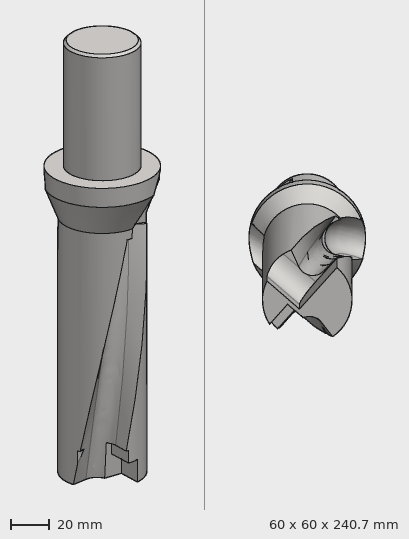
import cadquery as cq
import math

total_length = 240.7
collar_top = 170.6
collar_bottom = 160.0
cone_bottom = 142.5

shank_radius = 40.0 / 2
collar_radius = 60.0 / 2
body_radius = 46.0 / 2
shank_chamfer = 1.5

flat_depth = 2.05
flat_offset = shank_radius - flat_depth
flat_bottom = 178.5
flat_top = 234.0

flute_floor_distance = 8.5
flute_floor_radius = 8.0
wall_flare = 34.0
wall_reach = 21.7

twist_rate = 0.5402
flute_start_angle = 135.0
flute_top = 137.2

runout_direction = 253.0
runout_floor_distance = 4.8
runout_floor_radius = 9.9
runout_side_offset = -13.2
runout_arc_radius = 33.7
runout_sweep = 90.0

inner_seat_floor = 6.0
inner_seat_height = 12.8
inner_seat_fillet = 12.5

outer_seat_wall = 8.2
outer_seat_height = 19.5
outer_recess_depth = 6.3
outer_recess_height = 12.5

clearance = 2 * collar_radius


def turned_blank():
    """Shank, collar, cone and body as one revolved profile."""
    return (
        cq.Workplane("XZ")
        .moveTo(0, 0)
        .lineTo(body_radius, 0)
        .lineTo(body_radius, cone_bottom)
        .lineTo(collar_radius, collar_bottom)
        .lineTo(collar_radius, collar_top)
        .lineTo(shank_radius, collar_top)
        .lineTo(shank_radius, total_length - shank_chamfer)
        .lineTo(shank_radius - shank_chamfer, total_length)
        .lineTo(0, total_length)
        .close()
        .revolve(360, (0, 0), (0, 1))
    )


def box_between(low, high):
    """Axis-aligned box given by two opposite corners."""
    size = [b - a for a, b in zip(low, high)]
    return cq.Workplane("XY").box(*size, centered=False).translate(low)


def channel_section(floor_distance, floor_radius, flare_angle):
    """U-shaped section on the XY plane, opening along +X."""
    flare = math.radians(flare_angle)
    tangent_x = floor_distance + floor_radius * (1 - math.sin(flare))
    tangent_y = floor_radius * math.cos(flare)
    mouth_x = tangent_x + wall_reach * math.cos(flare)
    mouth_y = tangent_y + wall_reach * math.sin(flare)
    return (
        cq.Workplane("XY")
        .moveTo(mouth_x, -mouth_y)
        .lineTo(tangent_x, -tangent_y)
        .threePointArc((floor_distance, 0), (tangent_x, tangent_y))
        .lineTo(mouth_x, mouth_y)
        .close()
    )


def turned_about_axis(shape, angle):
    """Shape rotated about the drill axis."""
    return shape.rotate((0, 0, 0), (0, 0, 1), angle)


def helical_flute():
    """Flute from the tip up to the start of the run-out."""
    section = channel_section(flute_floor_distance, flute_floor_radius, wall_flare)
    flute = section.twistExtrude(flute_top, twist_rate * flute_top)
    return turned_about_axis(flute, flute_start_angle)


def flute_runout():
    """Channel swung outward along an arc, through the cone and collar."""
    pivot = runout_floor_distance + runout_arc_radius
    section = channel_section(runout_floor_distance, runout_floor_radius, 0)
    runout = section.revolve(runout_sweep, (pivot, 0), (pivot, 1))
    runout = runout.translate((0, runout_side_offset, flute_top))
    return turned_about_axis(runout, runout_direction)


def inner_insert_seat():
    """Seat open to -X and +Y whose floor curves out into the flute."""
    fillet_centre = inner_seat_floor - inner_seat_fillet
    seat_top = inner_seat_height + inner_seat_fillet
    diagonal = inner_seat_fillet * math.sqrt(0.5)
    return (
        cq.Workplane("XZ")
        .moveTo(-clearance, 0)
        .lineTo(inner_seat_floor, 0)
        .lineTo(inner_seat_floor, inner_seat_height)
        .threePointArc(
            (fillet_centre + diagonal, inner_seat_height + diagonal),
            (fillet_centre, seat_top),
        )
        .lineTo(-clearance, seat_top)
        .close()
        .extrude(-clearance)
    )


def outer_insert_seat():
    """Seat open to +X and -Y with a deeper recess next to the tip."""
    seat = box_between(
        (outer_seat_wall, -clearance, 0), (clearance, 0, outer_seat_height)
    )
    recess = box_between(
        (outer_seat_wall, -clearance, 0),
        (clearance, outer_recess_depth, outer_recess_height),
    )
    return seat.union(recess)


def shank_flat():
    """Material above the clamping flat."""
    return box_between(
        (-clearance, flat_offset, flat_bottom), (clearance, clearance, flat_top)
    )


result = turned_blank().cut(shank_flat())

for flute_turn in (0, 180):
    for cutter in (helical_flute(), flute_runout()):
        result = result.cut(turned_about_axis(cutter, flute_turn))

result = result.cut(inner_insert_seat()).cut(outer_insert_seat())